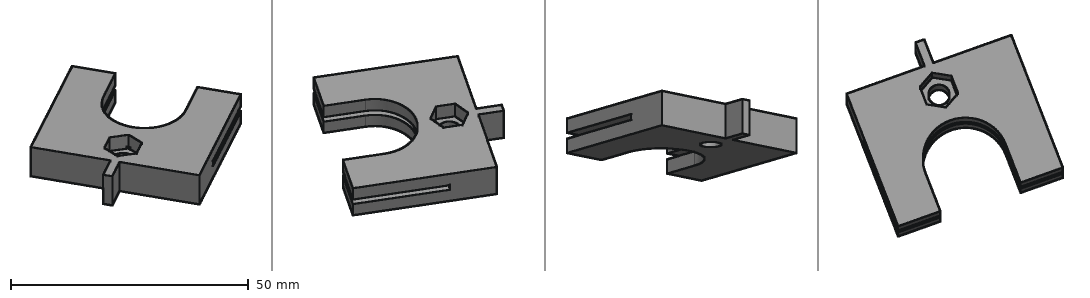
import cadquery as cq

plate_width = 37.0
plate_length = 31.1
thickness = 7.5

opening_diameter = 18.0
opening_depth = 18.0

slit_height = 1.25
slit_depth = 21.0
slit_middle_z = thickness / 2

bolt_diameter = 4.5
bolt_to_front_edge = 6.05
nut_across_corners = 8.15
nut_pocket_depth = 3.5

tab_length = 5.5
tab_width = 2.0


def make_plate():
    return cq.Workplane("XY").center(0, plate_length / 2).rect(plate_width, plate_length).extrude(thickness)


def make_tab():
    return cq.Workplane("XY").center(0, -tab_length / 2).rect(tab_width, tab_length).extrude(thickness)


def make_opening():
    radius = opening_diameter / 2
    arc_centre_y = plate_length - opening_depth + radius
    return (
        cq.Workplane("XY")
        .moveTo(-radius, plate_length)
        .lineTo(-radius, arc_centre_y)
        .threePointArc((0, arc_centre_y - radius), (radius, arc_centre_y))
        .lineTo(radius, plate_length)
        .close()
        .extrude(thickness)
    )


def make_slit():
    slit_middle_y = plate_length - slit_depth / 2
    slit = cq.Workplane("XY").box(plate_width, slit_depth, slit_height)
    return slit.translate((0, slit_middle_y, slit_middle_z))


def make_bolt_hole():
    return cq.Workplane("XY").center(0, bolt_to_front_edge).circle(bolt_diameter / 2).extrude(thickness)


def make_nut_pocket():
    """Hexagon with two corners on the Y direction, flats facing X."""
    return (
        cq.Workplane("XY", origin=(0, bolt_to_front_edge, thickness - nut_pocket_depth))
        .transformed(rotate=(0, 0, 90))
        .polygon(6, nut_across_corners)
        .extrude(nut_pocket_depth)
    )


result = (
    make_plate()
    .union(make_tab())
    .cut(make_opening())
    .cut(make_slit())
    .cut(make_bolt_hole())
    .cut(make_nut_pocket())
)